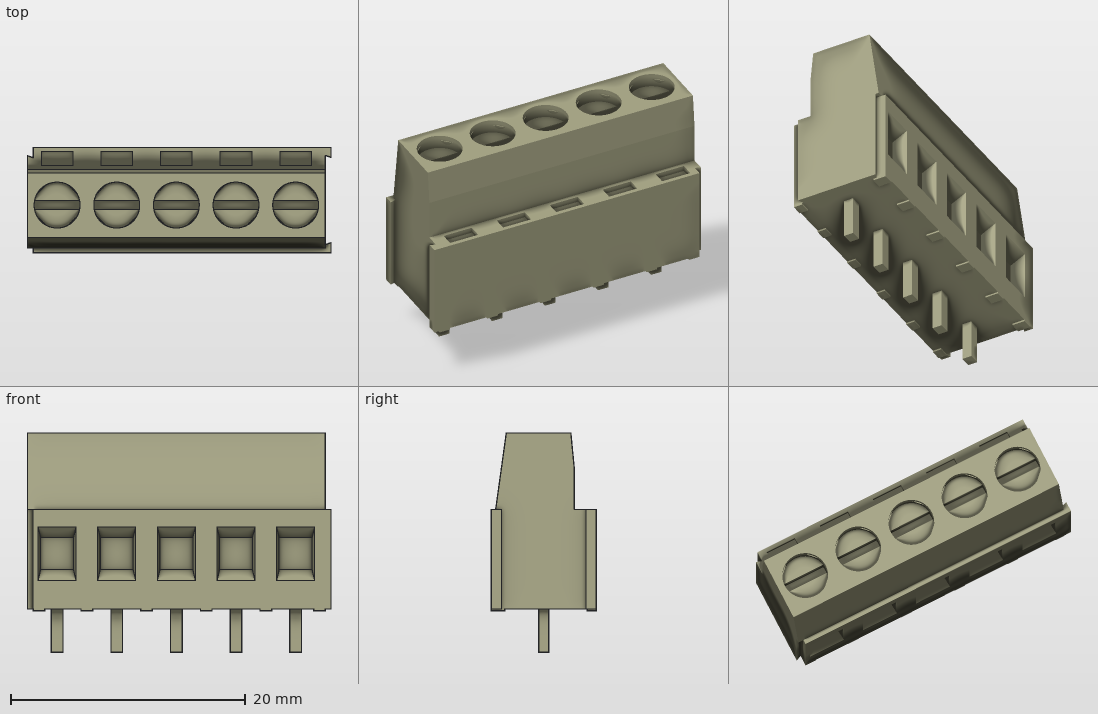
import cadquery as cq
import math


overall_length = 25.9
depth = 9.0
poles = 5
hook_reach = 0.5
body_length = overall_length - hook_reach
pitch = body_length / poles
pole_centres = [(i + 0.5) * pitch for i in range(poles)]

shelf_height = 8.5
top_height = 15.02

hook_root_width = 0.7
hook_tip_width = 0.88

front_foot_y = 0.4
front_top_y = 1.3
rear_top_y = 6.8
rear_wall_y = 7.1
rear_taper_start_height = 12.07

foot_length = 1.0
foot_height = 0.15
front_foot_width = 1.2
rear_foot_width = 0.8

pin_width = 1.0
pin_thickness = 0.88
pin_length = 3.68

opening_width = 3.25
opening_bottom = 2.43
opening_top = 7.0
opening_back_width = 2.8
opening_back_bottom = 3.37
opening_back_top = 6.09
opening_depth = 1.3

well_y = 4.07
well_diameter = 3.9
well_depth = 1.25
slot_width = 0.78
slot_depth = 1.0
bump_drop = 0.5
bump_reach = 0.08
bump_height = 0.34
bump_angles = (45, 135, 225, 315)

pocket_length = 2.7
pocket_width = 1.2
pocket_y = 8.03
pocket_depth = 0.5


def block(centre_x, centre_y, bottom, size_x, size_y, height):
    """Upright box centred on (centre_x, centre_y), starting at the given height."""
    box = cq.Workplane("XY").box(size_x, size_y, height, centered=(True, True, False))
    return box.translate((centre_x, centre_y, bottom))


def lower_housing():
    """Base with a groove on each left corner and a matching hook on each right corner."""
    rear_root = depth - hook_root_width
    rear_tip = depth - hook_tip_width
    outline = [
        (hook_reach, 0),
        (overall_length, 0),
        (overall_length, hook_tip_width),
        (body_length, hook_root_width),
        (body_length, rear_root),
        (overall_length, rear_tip),
        (overall_length, depth),
        (hook_reach, depth),
        (hook_reach, rear_tip),
        (0, rear_root),
        (0, hook_root_width),
        (hook_reach, hook_tip_width),
    ]
    return cq.Workplane("XY").polyline(outline).close().extrude(shelf_height)


def upper_housing():
    """Tapered screw housing standing on the base."""
    profile = [
        (front_foot_y, shelf_height),
        (front_top_y, top_height),
        (rear_top_y, top_height),
        (rear_wall_y, rear_taper_start_height),
        (rear_wall_y, shelf_height),
    ]
    return cq.Workplane("YZ").polyline(profile).close().extrude(body_length)


def feet():
    """Rows of feet along the front and rear edges, on the lines between poles and at both ends."""
    between_poles = [i * pitch for i in range(1, poles)]
    first = hook_reach + foot_length / 2
    last = body_length - foot_length / 2
    pads = cq.Workplane("XY")
    for x in [first, *between_poles, last]:
        for y, width in (
            (front_foot_width / 2, front_foot_width),
            (depth - rear_foot_width / 2, rear_foot_width),
        ):
            pads = pads.add(block(x, y, -foot_height, foot_length, width, foot_height))
    return pads.combine()


def wire_opening(x):
    """Funnel narrowing from the front face to a flat back."""
    mouth_centre = (opening_bottom + opening_top) / 2
    back_centre = (opening_back_bottom + opening_back_top) / 2
    return (
        cq.Workplane("XZ", origin=(x, 0, mouth_centre))
        .rect(opening_width, opening_top - opening_bottom)
        .workplane(offset=-opening_depth)
        .center(0, back_centre - mouth_centre)
        .rect(opening_back_width, opening_back_top - opening_back_bottom)
        .loft(combine=True)
    )


def retaining_bump(angle):
    """Wedge on the well wall with a flat top; its face leans back to the wall below."""
    radius = well_diameter / 2
    chord = 2 * math.sqrt(radius**2 - (radius - bump_reach) ** 2)
    ledge = top_height - bump_drop
    profile = [
        (radius - bump_reach, ledge),
        (radius, ledge),
        (radius, ledge - bump_height),
    ]
    wedge = cq.Workplane("XZ").polyline(profile).close().extrude(chord / 2, both=True)
    return wedge.rotate((0, 0, 0), (0, 0, 1), angle)


def screw_well(x):
    """Round well over the screw head, with the driver slot below and the bumps left standing."""
    floor = top_height - well_depth
    well = cq.Workplane("XY").workplane(offset=floor).circle(well_diameter / 2).extrude(well_depth)
    for angle in bump_angles:
        well = well.cut(retaining_bump(angle))
    slot_area = cq.Workplane("XY").workplane(offset=floor - slot_depth).circle(well_diameter / 2)
    slot = slot_area.extrude(slot_depth).intersect(
        block(0, 0, floor - slot_depth, well_diameter, slot_width, slot_depth)
    )
    return well.union(slot).translate((x, well_y, 0))


result = lower_housing().union(upper_housing()).union(feet())
for x in pole_centres:
    result = result.union(block(x, depth / 2, -pin_length, pin_width, pin_thickness, pin_length))
    result = result.cut(wire_opening(x))
    result = result.cut(screw_well(x))
    result = result.cut(
        block(x, pocket_y, shelf_height - pocket_depth, pocket_length, pocket_width, pocket_depth)
    )